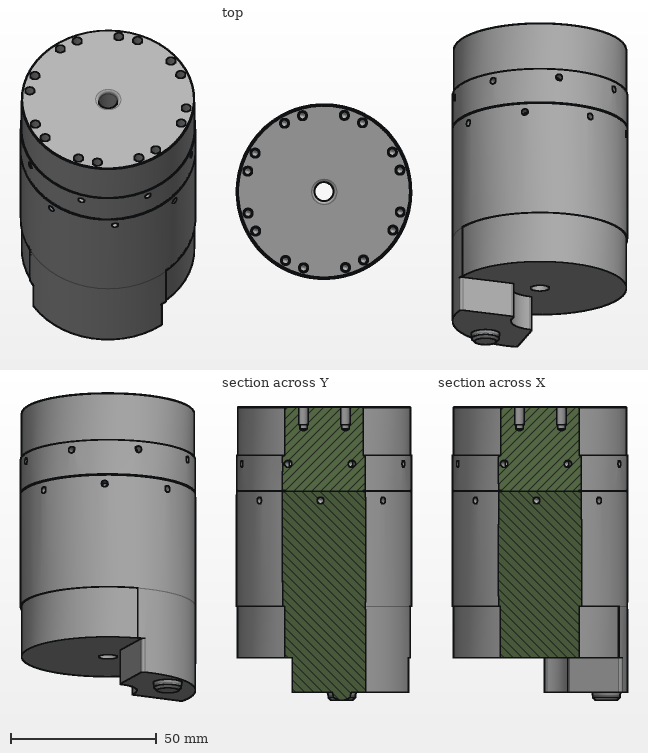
import cadquery as cq
import math

top_z = 100.5
drum_base_z = 83.9
joint_z = 71.6
collar_base_z = 32.2
foot_base_z = 14.6
block_base_z = 2.7

collar_radius = 30.0
drum_radius = 29.6
top_rim_chamfer = 0.3
joint_gap_height = 0.3
joint_gap_depth = 0.4

bore_radius = 3.2
bore_mouth_round = 1.1

drill_tip_angle = 118.0
top_hole_radius = 1.6
top_hole_depth = 6.0
top_core_radius = 1.2
top_core_depth = 7.5
top_hole_circle_radius = 27.0
top_hole_half_spread = 7.1
top_hole_first_pair = 22.9
side_hole_radius = 1.1
side_hole_depth = 4.0
holes_around = 8
hole_pitch = 360.0 / holes_around
rotor_hole_z = 81.0
rotor_hole_first = 20.0
stator_hole_z = 68.4
stator_hole_first = -2.6

block_scoop_radius = 9.9
block_start_angle = -112.5
block_end_angle = -16.0
block_end_offset = 1.5
block_corner_radius = 1.0
pad_start_angle = -115.4
pad_end_angle = -10.5

connector_angle = -75.0
connector_circle_radius = 23.5
connector_root_radius = 4.9
connector_radius = 4.7
connector_tip_radius = 3.7
connector_band_top_z = 1.7
connector_band_base_z = 1.0


def polar(radius, angle):
    """Point at a radius and an angle in degrees around the bore axis."""
    turn = math.radians(angle)
    return (radius * math.cos(turn), radius * math.sin(turn))


def disc(radius, base_z, end_z):
    """Round section centred on the bore axis."""
    return cq.Workplane("XY").workplane(offset=base_z).circle(radius).extrude(end_z - base_z)


def drill(radius, depth, entry, direction):
    """Blind drilled hole with a conical tip, as a cutter."""
    tip_length = radius / math.tan(math.radians(drill_tip_angle / 2))
    start = cq.Vector(*entry)
    axis = cq.Vector(*direction)
    barrel = cq.Solid.makeCylinder(radius, depth, start, axis)
    tip = cq.Solid.makeCone(radius, 0, tip_length, start + axis * depth, axis)
    return barrel.fuse(tip)


def drill_top_pairs(body):
    for pair in range(holes_around):
        for side in (-1, 1):
            angle = top_hole_first_pair + pair * hole_pitch + side * top_hole_half_spread
            x, y = polar(top_hole_circle_radius, angle)
            core = drill(top_core_radius, top_core_depth, (x, y, top_z), (0, 0, -1))
            barrel = disc(top_hole_radius, top_z - top_hole_depth, top_z).translate((x, y, 0))
            body = body.cut(cq.Workplane(core)).cut(barrel)
    return body


def drill_side_row(body, row_z, first_angle):
    for hole in range(holes_around):
        angle = first_angle + hole * hole_pitch
        x, y = polar(collar_radius, angle)
        inward = (*polar(-1, angle), 0)
        body = body.cut(cq.Workplane(drill(side_hole_radius, side_hole_depth, (x, y, row_z), inward)))
    return body


def make_rotor():
    body = disc(drum_radius, drum_base_z, top_z).faces(">Z").chamfer(top_rim_chamfer)
    body = body.union(disc(collar_radius, joint_z + joint_gap_height, drum_base_z))
    body = body.union(disc(collar_radius - joint_gap_depth, joint_z, joint_z + joint_gap_height))
    body = body.cut(disc(bore_radius, joint_z, top_z))
    body = body.edges(cq.selectors.RadiusNthSelector(0)).edges(">Z").fillet(bore_mouth_round)
    body = drill_top_pairs(body)
    return drill_side_row(body, rotor_hole_z, rotor_hole_first)


def make_pad():
    """Part of the foot that is raised to the collar radius above the block."""
    middle = polar(collar_radius, (pad_start_angle + pad_end_angle) / 2)
    return (
        cq.Workplane("XY")
        .workplane(offset=foot_base_z)
        .lineTo(*polar(collar_radius, pad_start_angle))
        .threePointArc(middle, polar(collar_radius, pad_end_angle))
        .close()
        .extrude(collar_base_z - foot_base_z)
    )


def end_face_point(radius):
    """Point of the offset side face of the block at a radius."""
    return polar(radius, block_end_angle + math.degrees(math.asin(block_end_offset / radius)))


def make_block():
    middle_angle = (block_start_angle + block_end_angle) / 2
    return (
        cq.Workplane("XY")
        .workplane(offset=block_base_z)
        .moveTo(*polar(block_scoop_radius, block_start_angle))
        .lineTo(*polar(collar_radius, block_start_angle))
        .threePointArc(polar(collar_radius, middle_angle), end_face_point(collar_radius))
        .lineTo(*end_face_point(block_scoop_radius))
        .threePointArc(
            polar(block_scoop_radius, middle_angle), polar(block_scoop_radius, block_start_angle)
        )
        .close()
        .extrude(foot_base_z - block_base_z)
        .edges("|Z")
        .fillet(block_corner_radius)
    )


def make_connector():
    profile = [
        (0, block_base_z),
        (connector_root_radius, block_base_z),
        (connector_radius, connector_band_top_z),
        (connector_radius, connector_band_base_z),
        (connector_tip_radius, 0),
        (0, 0),
    ]
    turned = cq.Workplane("XZ").polyline(profile).close().revolve(360, (0, 0), (0, 1))
    return turned.translate((*polar(connector_circle_radius, connector_angle), 0))


def make_stator():
    body = disc(collar_radius, collar_base_z, joint_z)
    body = body.union(disc(drum_radius, foot_base_z, collar_base_z))
    body = body.union(make_pad()).union(make_block()).union(make_connector())
    body = body.cut(disc(bore_radius, foot_base_z, joint_z))
    return drill_side_row(body, stator_hole_z, stator_hole_first)


rotor = make_rotor()
stator = make_stator()

result = cq.Compound.makeCompound([rotor.val(), stator.val()])